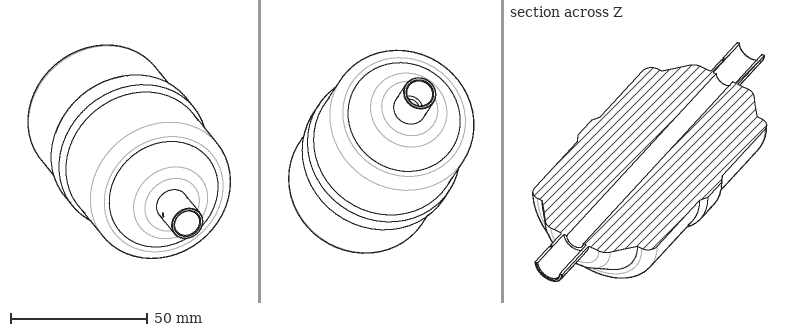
import cadquery as cq
import math

length = 134.0
half_length = length / 2

belt_radius = 57.4 / 2
belt_half_width = 4.5
belt_foot_half_width = 7.5

body_radius = 54.0 / 2
body_half_length = 39.7
shoulder_radius = 4.0

cap_half_length = 49.5
cap_base_radius = 21.0
cap_slope = 40.0
cap_height = cap_half_length - body_half_length
cap_tip_radius = cap_base_radius - cap_height * math.tan(math.radians(cap_slope))
nose_radius = 5.0

tube_radius = 12.0 / 2
socket_radius = 9.6 / 2
bore_radius = 7.2 / 2
socket_depth = half_length - cap_half_length
outer_rim_chamfer = 0.2
inner_rim_chamfer = 0.34

dimple_radius = 0.7
dimple_position = 57.0

x_axis = cq.Vector(1, 0, 0)


def make_rod(radius, half_span):
    """Cylinder on the X axis, centred on the YZ plane."""
    return cq.Workplane("YZ").circle(radius).extrude(half_span, both=True)


def make_belt():
    """Trapezoidal ring section revolved solid about the X axis."""
    return (
        cq.Workplane("XY")
        .moveTo(-belt_foot_half_width, 0)
        .lineTo(-belt_foot_half_width, body_radius)
        .lineTo(-belt_half_width, belt_radius)
        .lineTo(belt_half_width, belt_radius)
        .lineTo(belt_foot_half_width, body_radius)
        .lineTo(belt_foot_half_width, 0)
        .close()
        .revolve(360, (0, 0, 0), (1, 0, 0))
    )


def make_cap(side):
    """Truncated cone on one end of the body, rounded at its small end."""
    base = cq.Vector(side * body_half_length, 0, 0)
    cone = cq.Solid.makeCone(cap_base_radius, cap_tip_radius, cap_height, base, x_axis * side)
    tip = ">X" if side > 0 else "<X"
    return cq.Workplane(cone).faces(tip).edges().fillet(nose_radius)


def make_socket(side):
    """Cutter for the wide bore of one tube, flared at the mouth."""
    mouth = cq.Vector(side * half_length, 0, 0)
    inward = x_axis * -side
    bore = cq.Solid.makeCylinder(socket_radius, socket_depth, mouth, inward)
    mouth_radius = socket_radius + inner_rim_chamfer
    flare = cq.Solid.makeCone(mouth_radius, socket_radius, inner_rim_chamfer, mouth, inward)
    return cq.Workplane(bore).union(cq.Workplane(flare))


def make_dimple(side):
    """Ball cutter centred on the -Y surface of one tube."""
    return cq.Workplane("XY", origin=(side * dimple_position, -tube_radius, 0)).sphere(dimple_radius)


body = make_rod(body_radius, body_half_length).faces("<X or >X").edges().fillet(shoulder_radius)
tubes = make_rod(tube_radius, half_length).faces("<X or >X").edges().chamfer(outer_rim_chamfer)

result = body.union(make_belt()).union(tubes)
for side in (-1, 1):
    result = result.union(make_cap(side))
result = result.cut(make_rod(bore_radius, half_length))
for side in (-1, 1):
    result = result.cut(make_socket(side)).cut(make_dimple(side))